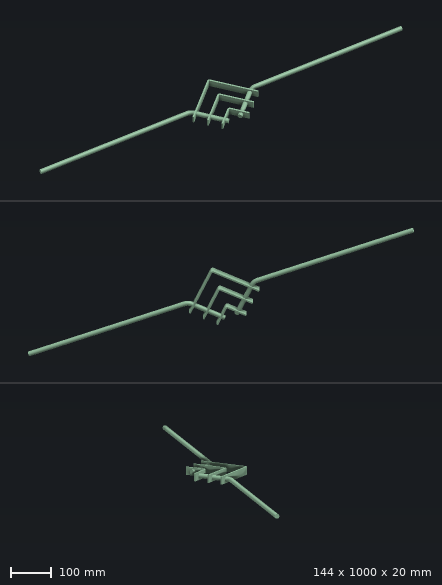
import cadquery as cq
import math

overall_length = 1000.0
overall_width = 144.0
plate_height = 20.0

rod_diameter = 12.0
rod_bend_radius = 24.0
rod_bend_angle = math.radians(45)
rod_corner_y = 85.0
rod_leg_length = 98.0

plate_count = 3
plate_pitch = 37.0
plate_thickness = 4.0
plate_bend_radius = 6.0
plate_overhang = 21.0

diagonal = math.sqrt(0.5)
pitch_x = plate_pitch / diagonal
thickness_x = plate_thickness / diagonal

tip_line = rod_corner_y + plate_overhang / diagonal

bend_inset = plate_bend_radius * (1 / diagonal - 1)
last_plate_offset = (plate_count - 1) * pitch_x
first_corner_x = tip_line + last_plate_offset + thickness_x - 2 * (overall_width + bend_inset)


def make_rod():
    """Rod on the +Y side, swept along its bent axis."""
    setback = rod_bend_radius * math.tan(rod_bend_angle / 2)
    bend_start_y = rod_corner_y + setback
    bend_middle = (
        rod_bend_radius * (1 - math.cos(rod_bend_angle / 2)),
        bend_start_y - rod_bend_radius * math.sin(rod_bend_angle / 2),
    )
    leg_start = setback * diagonal
    leg_end = rod_leg_length * diagonal
    axis = (
        cq.Workplane("XY")
        .moveTo(0, overall_length / 2)
        .lineTo(0, bend_start_y)
        .threePointArc(bend_middle, (leg_start, rod_corner_y - leg_start))
        .lineTo(leg_end, rod_corner_y - leg_end)
    )
    section_plane = cq.Workplane("XZ", origin=(0, overall_length / 2, 0))
    return section_plane.circle(rod_diameter / 2).sweep(axis)


def round_corner(plate, corner_x, radius):
    """Round the vertical edge of the plate at (corner_x, 0)."""
    corner = cq.selectors.NearestToPointSelector((corner_x, 0, 0))
    return plate.edges(corner).fillet(radius)


def make_plate(corner_x):
    """Angle plate whose sharp outer corner would be at (corner_x, 0)."""
    tip_y = (tip_line - corner_x) / 2
    tip_x = tip_line - tip_y
    tip_step = plate_thickness * diagonal
    inner_corner_x = corner_x + thickness_x
    plate = (
        cq.Workplane("XY")
        .moveTo(corner_x, 0)
        .lineTo(tip_x, tip_y)
        .lineTo(tip_x + tip_step, tip_y - tip_step)
        .lineTo(inner_corner_x, 0)
        .lineTo(tip_x + tip_step, tip_step - tip_y)
        .lineTo(tip_x, -tip_y)
        .close()
        .extrude(plate_height / 2, both=True)
    )
    plate = round_corner(plate, inner_corner_x, plate_bend_radius - plate_thickness)
    return round_corner(plate, corner_x, plate_bend_radius)


rod = make_rod()
result = rod.union(rod.mirror("XZ"))
for index in range(plate_count):
    result = result.union(make_plate(first_corner_x + index * pitch_x))